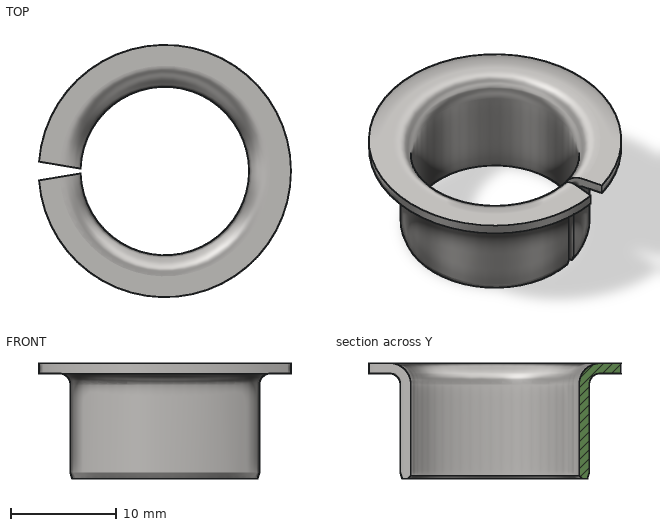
import cadquery as cq
import math

flange_diameter = 23.98
sleeve_diameter = 17.98
wall = 1.0
height = 11.0
chamfer_height = 0.6
chamfer_depth = 0.2
bore_chamfer = 0.3
outer_bend_radius = 1.0

split_half_width_at_bore = 0.22
split_half_angle = 9.5

flange_radius = flange_diameter / 2
sleeve_radius = sleeve_diameter / 2
bore_radius = sleeve_radius - wall
inner_bend_radius = outer_bend_radius + wall
bend_center_radius = sleeve_radius + outer_bend_radius
bend_center_z = height - inner_bend_radius
diagonal = math.sqrt(0.5)


def bend_midpoint(radius):
    """Middle of a quarter bend, shared by the concentric inner and outer bends."""
    return (bend_center_radius - radius * diagonal, bend_center_z + radius * diagonal)


def make_bushing():
    """Revolve the wall section, which curves from the sleeve into the flange."""
    section = (
        cq.Workplane("XZ")
        .moveTo(bore_radius, bore_chamfer)
        .lineTo(bore_radius + bore_chamfer, 0)
        .lineTo(sleeve_radius - chamfer_depth, 0)
        .lineTo(sleeve_radius, chamfer_height)
        .lineTo(sleeve_radius, bend_center_z)
        .threePointArc(bend_midpoint(outer_bend_radius), (bend_center_radius, height - wall))
        .lineTo(flange_radius, height - wall)
        .lineTo(flange_radius, height)
        .lineTo(bend_center_radius, height)
        .threePointArc(bend_midpoint(inner_bend_radius), (bore_radius, bend_center_z))
        .close()
    )
    bushing = section.revolve(360, (0, 0, 0), (0, 1, 0))
    return bushing.rotate((0, 0, 0), (0, 0, 1), 180)


def make_split():
    """Full-height wedge that widens outward from the bore."""
    slope = math.tan(math.radians(split_half_angle))
    inner_x = bore_radius - split_half_width_at_bore / slope
    outer_x = flange_radius + wall
    outer_half_width = (outer_x - inner_x) * slope
    return (
        cq.Workplane("XY")
        .polyline([(-inner_x, 0), (-outer_x, outer_half_width), (-outer_x, -outer_half_width)])
        .close()
        .extrude(height)
    )


result = make_bushing().cut(make_split())